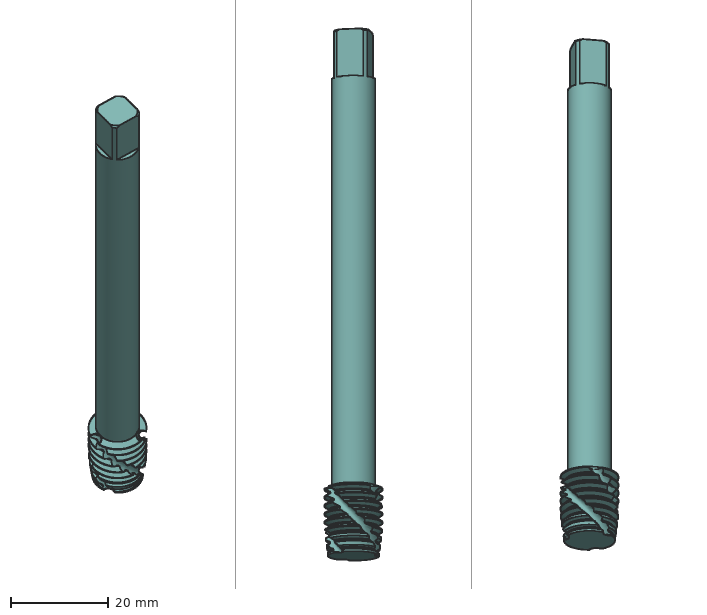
import cadquery as cq
import math

overall_length = 110.0
shank_radius = 4.5
square_width = 7.0
square_length = 10.0
tip_bevel = 0.38

head_length = 14.6
crest_diameter = 12.0
crest_radius = crest_diameter / 2
root_radius = 5.0
flank_angle = 30.0
ridge_count = 9
top_ridge_height = 14.0
pitch = top_ridge_height / (ridge_count - 1)
crest_flat = pitch / 8
lead_radius = 5.3
lead_length = 5.5

flute_count = 3
flute_radius = 1.4
flute_floor_radius = 4.4
flute_lead = 32.1
flute_top_runout = 0.5
flute_bottom_runout = 0.2
first_flute_angle = -91.0

flank_height = (crest_radius - root_radius) * math.tan(math.radians(flank_angle))
ridge_half_base = crest_flat / 2 + flank_height


def revolve_profile(points):
    """Turn a (radius, height) outline about the Z axis."""
    return cq.Workplane("YZ").polyline(points).close().revolve(360, (0, 0), (0, 1))


def make_shank():
    bar = revolve_profile([
        (0, head_length),
        (shank_radius, head_length),
        (shank_radius, overall_length - tip_bevel),
        (shank_radius - tip_bevel, overall_length),
        (0, overall_length),
    ])
    square_bottom = overall_length - square_length
    around_square = (
        cq.Workplane("XY", origin=(0, 0, square_bottom))
        .rect(3 * shank_radius, 3 * shank_radius)
        .rect(square_width, square_width)
        .extrude(square_length)
    )
    return bar.cut(around_square)


def make_threaded_blank():
    """The ridged head at full diameter, before the lead taper and the flutes."""
    points = [(0, 0), (crest_radius, 0), (crest_radius, crest_flat / 2), (root_radius, ridge_half_base)]
    for ridge in range(1, ridge_count):
        centre = ridge * pitch
        points += [
            (root_radius, centre - ridge_half_base),
            (crest_radius, centre - crest_flat / 2),
            (crest_radius, centre + crest_flat / 2),
        ]
        if ridge < ridge_count - 1:
            points.append((root_radius, centre + ridge_half_base))
    points += [(shank_radius, head_length), (0, head_length)]
    return revolve_profile(points)


def make_lead_envelope():
    """The outer limit of the head: a cylinder that narrows over the lead."""
    return revolve_profile([
        (0, 0),
        (lead_radius, 0),
        (crest_radius, lead_length),
        (crest_radius, head_length),
        (0, head_length),
    ])


def flute_section(height):
    """A circle on the +X side whose innermost point lies on the flute floor."""
    return (
        cq.Workplane("XY", origin=(0, 0, height))
        .moveTo(flute_floor_radius + flute_radius, 0)
        .circle(flute_radius)
    )


def turn_about_axis(body, angle):
    return body.rotate((0, 0, 0), (0, 0, 1), angle)


def cut_flute(head, top_angle):
    """Cut one helical flute that runs out straight at both ends."""
    twisted_length = head_length - flute_top_runout - flute_bottom_runout
    turn = 360 * twisted_length / flute_lead
    bottom_angle = top_angle + turn
    top_slot = flute_section(head_length - flute_top_runout).extrude(flute_top_runout)
    helix = flute_section(flute_bottom_runout).twistExtrude(twisted_length, -turn)
    bottom_slot = flute_section(0).extrude(flute_bottom_runout)
    return (
        head.cut(turn_about_axis(helix, bottom_angle))
        .cut(turn_about_axis(top_slot, top_angle))
        .cut(turn_about_axis(bottom_slot, bottom_angle))
    )


def make_head():
    head = make_threaded_blank().intersect(make_lead_envelope())
    for index in range(flute_count):
        head = cut_flute(head, first_flute_angle + index * 360 / flute_count)
    return head


shank = make_shank()
head = make_head()
result = cq.Compound.makeCompound([shank.val(), head.val()])